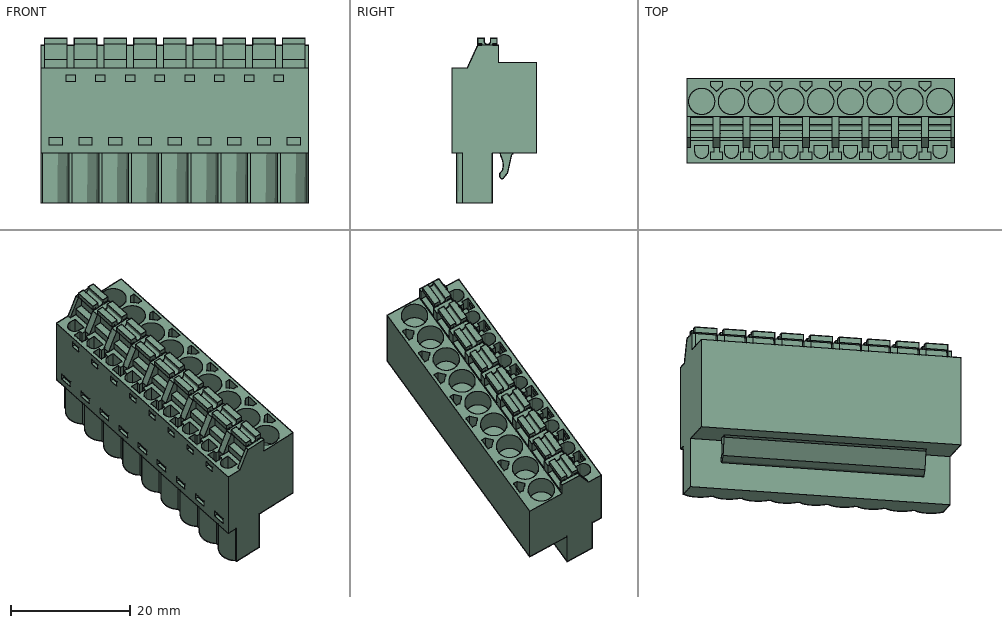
import cadquery as cq


poles = 9
length = 45.0
pitch = length / poles

depth = 14.2
plug_height = 8.4
front_height = 22.72
back_height = 23.65
tower_height = 26.55
tower_back = 7.85
slope_top = 4.3
slope_foot = 2.55
plug_front = 1.8
plug_back = 6.8

rib_width = 4.5
rib_front = 0.75

latch_inset = pitch
latch_tip = 4.1

opening_depth = 4.5
round_pit_diameter = 4.4
round_pit_y = 10.35
coding_width = 2.02
pentagon_tip = 12.0
pentagon_shoulder = 12.95
pentagon_back = 13.7
entry_width = 2.35
entry_back = 2.95
entry_arc_y = 1.95
t_bar_front = 0.65
t_bar_back = 1.9
t_neck_width = 0.95

window_depth = 0.55
upper_window_width = 1.58
upper_window_height = 1.1
upper_window_z = 21.0
lower_window_width = 2.2
lower_window_height = 1.2
lower_window_z = 10.4

lever_width = 3.82
lever_top = 27.7
shelf_front = 3.8
shelf_height = 24.1
stem_front = 5.0
stem_back = 6.9
head_front = slope_top
head_back = 7.6
head_bottom = 26.78
groove_front = 5.45
groove_back = 6.5
groove_bottom = 26.7

pole_centres = [(i + 0.5) * pitch for i in range(poles)]
gap_centres = [i * pitch for i in range(1, poles)]


def extrude_along_x(profile, start, width):
    """Extrude a YZ sketch along +X from the given X."""
    return profile.extrude(width).translate((start, 0, 0))


def box_between(x_centre, width, y_range, z_range):
    y_size = y_range[1] - y_range[0]
    z_size = z_range[1] - z_range[0]
    block = cq.Workplane("XY").box(width, y_size, z_size, centered=(True, False, False))
    return block.translate((x_centre, y_range[0], z_range[0]))


def housing_body():
    outline = cq.Workplane("YZ").polyline([
        (plug_front, 0),
        (plug_back, 0),
        (plug_back, plug_height),
        (depth, plug_height),
        (depth, back_height),
        (tower_back, back_height),
        (tower_back, tower_height),
        (slope_top, tower_height),
        (slope_foot, front_height),
        (0, front_height),
        (0, plug_height),
        (plug_front, plug_height),
    ]).close()
    return extrude_along_x(outline, 0, length)


def plug_rib(x):
    """Shallow arc-fronted rib, up to the underside of the main block."""
    half_width = rib_width / 2
    return (
        cq.Workplane("XY")
        .moveTo(x - half_width, plug_front)
        .threePointArc((x, rib_front), (x + half_width, plug_front))
        .lineTo(x + half_width, plug_back)
        .lineTo(x - half_width, plug_back)
        .close()
        .extrude(plug_height)
    )


def latch():
    """Curved latch arm that ends in a hook pointing at the plug."""
    profile = (
        cq.Workplane("YZ")
        .moveTo(10.35, plug_height)
        .lineTo(10.05, 8.1)
        .lineTo(9.35, 5.1)
        .lineTo(8.7, 4.25)
        .threePointArc((8.4, latch_tip), (8.15, 4.25))
        .lineTo(8.0, 4.5)
        .lineTo(8.0, 5.0)
        .lineTo(8.45, 5.5)
        .threePointArc((8.6, 6.4), (8.45, 7.3))
        .lineTo(8.15, 8.1)
        .lineTo(8.1, plug_height)
        .close()
    )
    return extrude_along_x(profile, latch_inset, length - 2 * latch_inset)


def round_pit(x):
    return (
        cq.Workplane("XY", origin=(x, round_pit_y, back_height))
        .circle(round_pit_diameter / 2)
        .extrude(-opening_depth)
    )


def pentagon_pit(x):
    half_width = coding_width / 2
    return (
        cq.Workplane("XY", origin=(x, 0, back_height))
        .polyline([
            (0, pentagon_tip),
            (half_width, pentagon_shoulder),
            (half_width, pentagon_back),
            (-half_width, pentagon_back),
            (-half_width, pentagon_shoulder),
        ])
        .close()
        .extrude(-opening_depth)
    )


def wire_entry(x):
    """Pit with a flat back and a semicircular front."""
    radius = entry_width / 2
    return (
        cq.Workplane("XY", origin=(x, 0, front_height))
        .moveTo(-radius, entry_back)
        .lineTo(-radius, entry_arc_y)
        .threePointArc((0, entry_arc_y - radius), (radius, entry_arc_y))
        .lineTo(radius, entry_back)
        .close()
        .extrude(-opening_depth)
    )


def t_slot(x):
    """T-shaped pit whose neck stops at the foot of the tower."""
    z_range = (front_height - opening_depth, front_height)
    bar = box_between(x, coding_width, (t_bar_front, t_bar_back), z_range)
    neck = box_between(x, t_neck_width, (t_bar_back, slope_foot), z_range)
    return bar.union(neck)


def front_window(x, width, height, z_centre):
    z_range = (z_centre - height / 2, z_centre + height / 2)
    return box_between(x, width, (0, window_depth), z_range)


def lever_slot(x):
    """Slot across the tower, down to the level of the wire-entry ledge."""
    return box_between(x, lever_width, (slope_foot, tower_back), (front_height, tower_height))


def make_housing():
    body = housing_body().union(latch())
    for x in pole_centres:
        body = body.union(plug_rib(x))
    for x in pole_centres:
        body = body.cut(lever_slot(x))
        body = body.cut(round_pit(x))
        body = body.cut(wire_entry(x))
        body = body.cut(front_window(x, lower_window_width, lower_window_height, lower_window_z))
    for x in gap_centres:
        body = body.cut(pentagon_pit(x))
        body = body.cut(t_slot(x))
        body = body.cut(front_window(x, upper_window_width, upper_window_height, upper_window_z))
    return body.solids()


def make_lever(x):
    """Stepped lever with a T-shaped head that is split by a round-bottomed groove."""
    groove_radius = (groove_back - groove_front) / 2
    groove_centre = (groove_front + groove_back) / 2
    groove_arc_height = groove_bottom + groove_radius
    profile = (
        cq.Workplane("YZ")
        .moveTo(shelf_front, front_height)
        .lineTo(shelf_front, shelf_height)
        .lineTo(stem_front, shelf_height)
        .lineTo(stem_front, head_bottom)
        .lineTo(head_front, head_bottom)
        .lineTo(head_front, lever_top)
        .lineTo(groove_front, lever_top)
        .lineTo(groove_front, groove_arc_height)
        .threePointArc((groove_centre, groove_bottom), (groove_back, groove_arc_height))
        .lineTo(groove_back, lever_top)
        .lineTo(head_back, lever_top)
        .lineTo(head_back, head_bottom)
        .lineTo(stem_back, head_bottom)
        .lineTo(stem_back, shelf_height)
        .lineTo(tower_back, shelf_height)
        .lineTo(tower_back, front_height)
        .close()
    )
    return extrude_along_x(profile, x - lever_width / 2, lever_width)


housing = make_housing()
levers = [make_lever(x) for x in pole_centres]

result = cq.Compound.makeCompound([housing.val(), *[lever.val() for lever in levers]])